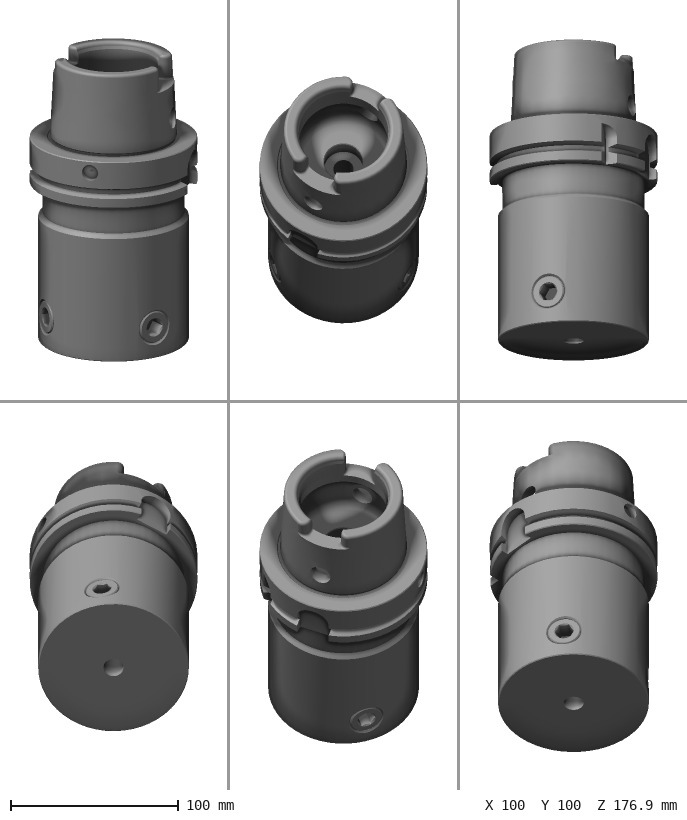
import cadquery as cq
import math

TOTAL_HEIGHT = 176.9

BODY_R = 45.0
BODY_BOTTOM_CHAMFER = 0.5
BODY_TOP_Z = 77.1
NECK_R = 42.3
NECK_START_Z = BODY_TOP_Z + (BODY_R - NECK_R)

FLANGE_R = 100.0 / 2
FLANGE_BOTTOM_Z = 98.0
FLANGE_TOP_Z = 127.0
FLANGE_CHAMFER = 0.5
GROOVE_R = 46.0
GROOVE_MID_Z = 107.0
GROOVE_MOUTH = 6.2
GROOVE_FLOOR = 2.8
FACE_RELIEF_R = 39.6
FACE_RELIEF_DEPTH = 0.5

TAPER_BASE_R = 37.9
TAPER_BASE_Z = 128.5
TAPER_SLOPE = 0.05
RELIEF_R = 37.1
RIM_OUTER_FILLET = 2.0

RIM_INNER_FILLET = 2.5
RIM_LEAD_IN_R = 27.5
RIM_LEAD_IN_END_Z = 172.7
LIP_R = 26.7
LIP_Z = 156.4
UNDERCUT_R = 30.6
UNDERCUT_ANGLE = 60.0
BORE_FLOOR_Z = 131.8
BORE_FLOOR_FILLET = 5.5
TUBE_SEAT_R = 12.0
TUBE_SEAT_DEPTH = 10.6
TUBE_SEAT_CHAMFER = 0.5
COOLANT_R = 6.0

RIM_SLOT_WIDTH = 20.0
RIM_SLOT_FLARE_R = 4.5
RIM_SLOT_FLOOR_FILLET = 1.5
RIM_SLOT_EDGE_CHAMFER = 0.7
SHALLOW_SLOT_FLOOR_Z = 166.8
DEEP_SLOT_FLOOR_Z = 161.9

ACCESS_R = 6.4
ACCESS_Z = 141.9

KEYWAY_WIDTH = 20.3
KEYWAY_TOP_Z = 122.6
KEYWAY_FLOOR_X = 44.0
NOTCH_WIDTH = 15.5
NOTCH_Y = 39.1
NOTCH_TOP_Z = 121.7
NOTCH_FLOOR_X = 31.8
CHIP_HOLE_R = 5.0
CHIP_HOLE_DEPTH = 4.5
CHIP_HOLE_Z = 119.8
CHIP_PILOT_R = 0.9
CHIP_PILOT_DEPTH = 0.9

SCREW_R = 9.9
SCREW_LENGTH = 17.7
SCREW_Z = 19.1
SCREW_FACE_RADIUS = 44.2
SCREW_ANGLES = (90.0, 220.0, 320.0)
SCREW_HOLE_CHAMFER = 1.0
SCREW_FACE_CHAMFER = 0.7
SOCKET_ACROSS_FLATS = 9.9
SOCKET_DEPTH = 10.6
SOCKET_LEAD_IN_R = 5.8


def taper_radius(z):
    """Outer radius of the shank taper at height z."""
    return TAPER_BASE_R - TAPER_SLOPE * (z - TAPER_BASE_Z)


def outer_blank():
    """Solid of revolution with the whole outer outline."""
    outline = [
        (0, 0),
        (BODY_R - BODY_BOTTOM_CHAMFER, 0),
        (BODY_R, BODY_BOTTOM_CHAMFER),
        (BODY_R, BODY_TOP_Z),
        (NECK_R, NECK_START_Z),
        (NECK_R, FLANGE_BOTTOM_Z),
        (FLANGE_R - FLANGE_CHAMFER, FLANGE_BOTTOM_Z),
        (FLANGE_R, FLANGE_BOTTOM_Z + FLANGE_CHAMFER),
        (FLANGE_R, GROOVE_MID_Z - GROOVE_MOUTH / 2),
        (GROOVE_R, GROOVE_MID_Z - GROOVE_FLOOR / 2),
        (GROOVE_R, GROOVE_MID_Z + GROOVE_FLOOR / 2),
        (FLANGE_R, GROOVE_MID_Z + GROOVE_MOUTH / 2),
        (FLANGE_R, FLANGE_TOP_Z - FLANGE_CHAMFER),
        (FLANGE_R - FLANGE_CHAMFER, FLANGE_TOP_Z),
        (FACE_RELIEF_R, FLANGE_TOP_Z),
        (FACE_RELIEF_R - FACE_RELIEF_DEPTH, FLANGE_TOP_Z - FACE_RELIEF_DEPTH),
        (RELIEF_R, FLANGE_TOP_Z - FACE_RELIEF_DEPTH),
        (RELIEF_R, TAPER_BASE_Z - (TAPER_BASE_R - RELIEF_R)),
        (TAPER_BASE_R, TAPER_BASE_Z),
        (taper_radius(TOTAL_HEIGHT), TOTAL_HEIGHT),
        (0, TOTAL_HEIGHT),
    ]
    return cq.Workplane("XZ").polyline(outline).close().revolve(360, (0, 0), (0, 1))


def bore_cutter():
    """Stepped bore: rounded rim, clamping lip, undercut, tube seat and coolant hole."""
    undercut_top_z = LIP_Z - (UNDERCUT_R - LIP_R) / math.tan(math.radians(UNDERCUT_ANGLE))
    seat_z = BORE_FLOOR_Z - TUBE_SEAT_DEPTH
    seat_inner_r = TUBE_SEAT_R - TUBE_SEAT_CHAMFER
    floor_bulge = BORE_FLOOR_FILLET * (1 - math.sqrt(0.5))
    rim_bulge = RIM_INNER_FILLET * (1 - math.sqrt(0.5))
    return (
        cq.Workplane("XZ")
        .lineTo(COOLANT_R, 0)
        .lineTo(COOLANT_R, seat_z)
        .lineTo(seat_inner_r, seat_z)
        .lineTo(seat_inner_r, BORE_FLOOR_Z - TUBE_SEAT_CHAMFER)
        .lineTo(TUBE_SEAT_R, BORE_FLOOR_Z)
        .lineTo(UNDERCUT_R - BORE_FLOOR_FILLET, BORE_FLOOR_Z)
        .threePointArc(
            (UNDERCUT_R - floor_bulge, BORE_FLOOR_Z + floor_bulge),
            (UNDERCUT_R, BORE_FLOOR_Z + BORE_FLOOR_FILLET),
        )
        .lineTo(UNDERCUT_R, undercut_top_z)
        .lineTo(LIP_R, LIP_Z)
        .lineTo(LIP_R, RIM_LEAD_IN_END_Z)
        .lineTo(RIM_LEAD_IN_R, TOTAL_HEIGHT - RIM_INNER_FILLET)
        .threePointArc(
            (RIM_LEAD_IN_R + rim_bulge, TOTAL_HEIGHT - rim_bulge),
            (RIM_LEAD_IN_R + RIM_INNER_FILLET, TOTAL_HEIGHT),
        )
        .lineTo(0, TOTAL_HEIGHT)
        .close()
        .revolve(360, (0, 0), (0, 1))
    )


def flare_points():
    """Start, middle and tip of the arc that rounds a slot wall into the outside of the rim."""
    outer_r = taper_radius(TOTAL_HEIGHT - RIM_OUTER_FILLET)
    centre_y = RIM_SLOT_WIDTH / 2 + RIM_SLOT_FLARE_R
    centre_x = math.sqrt((outer_r - RIM_SLOT_FLARE_R) ** 2 - centre_y ** 2)
    tip_angle = math.atan2(centre_y, centre_x)
    middle_angle = (tip_angle - math.pi / 2) / 2
    start = (centre_x, RIM_SLOT_WIDTH / 2)
    middle = (
        centre_x + RIM_SLOT_FLARE_R * math.cos(middle_angle),
        centre_y + RIM_SLOT_FLARE_R * math.sin(middle_angle),
    )
    tip = (outer_r * math.cos(tip_angle), outer_r * math.sin(tip_angle))
    return start, middle, tip


def mirrored_x(point):
    return (-point[0], point[1])


def mirrored_y(point):
    return (point[0], -point[1])


def rim_rounding_cutter():
    """Everything to remove near the top so that both rim walls end in rounded outer edges."""
    start, middle, tip = flare_points()
    base_z = TOTAL_HEIGHT - RIM_OUTER_FILLET
    wall = (
        cq.Workplane("XY", origin=(0, 0, base_z - RIM_OUTER_FILLET))
        .moveTo(*mirrored_x(start))
        .lineTo(*start)
        .threePointArc(middle, tip)
        .threePointArc((0, taper_radius(base_z)), mirrored_x(tip))
        .threePointArc(mirrored_x(middle), mirrored_x(start))
        .close()
        .extrude(2 * RIM_OUTER_FILLET)
        .faces(">Z")
        .edges()
        .fillet(RIM_OUTER_FILLET)
    )
    slab = cq.Workplane("XY", origin=(0, 0, base_z)).circle(FLANGE_R).extrude(2 * RIM_OUTER_FILLET)
    return slab.cut(wall).cut(wall.mirror("XZ"))


def rim_slot_cutter(side, floor_z):
    """Drive slot on the +X (side=1) or -X (side=-1) half of the rim, flared at its outer corners."""
    half = RIM_SLOT_WIDTH / 2
    start, middle, tip = flare_points()
    height = TOTAL_HEIGHT - floor_z + RIM_SLOT_FLOOR_FILLET
    slot = (
        cq.Workplane("XY", origin=(0, 0, floor_z))
        .moveTo(0, -half)
        .lineTo(*mirrored_y(start))
        .threePointArc(mirrored_y(middle), mirrored_y(tip))
        .lineTo(FLANGE_R, -tip[1])
        .lineTo(FLANGE_R, tip[1])
        .lineTo(*tip)
        .threePointArc(middle, start)
        .lineTo(0, half)
        .close()
        .extrude(height)
        .faces("<Z")
        .edges()
        .fillet(RIM_SLOT_FLOOR_FILLET)
    )
    edge_cone = cq.Workplane(
        cq.Solid.makeCone(
            LIP_R - RIM_SLOT_EDGE_CHAMFER,
            LIP_R + RIM_SLOT_EDGE_CHAMFER,
            2 * RIM_SLOT_EDGE_CHAMFER,
            pnt=cq.Vector(0, 0, floor_z - RIM_SLOT_EDGE_CHAMFER),
        )
    )
    edge_window = cq.Workplane("XY", origin=(0, 0, floor_z)).box(
        FLANGE_R, RIM_SLOT_WIDTH, height, centered=(False, True, True)
    )
    cutter = slot.union(edge_cone.intersect(edge_window))
    return cutter if side > 0 else cutter.rotate((0, 0, 0), (0, 0, 1), 180)


def flange_cut(side, floor_x, centre_y, width, top_z):
    """Round-topped cut from the side of the flange down through its lower face."""
    radius = width / 2
    arc_z = top_z - radius
    return (
        cq.Workplane("YZ", origin=(side * floor_x, 0, 0))
        .moveTo(centre_y - radius, FLANGE_BOTTOM_Z)
        .lineTo(centre_y - radius, arc_z)
        .threePointArc((centre_y, top_z), (centre_y + radius, arc_z))
        .lineTo(centre_y + radius, FLANGE_BOTTOM_Z)
        .close()
        .extrude(side * FLANGE_R)
    )


def access_cutter():
    """Radial hole along X through both walls of the shank."""
    return (
        cq.Workplane("YZ", origin=(-FLANGE_R, 0, 0))
        .center(0, ACCESS_Z)
        .circle(ACCESS_R)
        .extrude(2 * FLANGE_R)
    )


def chip_hole_cutter():
    """Flat-bottomed data chip hole on the -Y side with a small pilot in its floor."""
    face = cq.Workplane("XZ", origin=(0, -FLANGE_R, CHIP_HOLE_Z))
    hole = face.circle(CHIP_HOLE_R).extrude(-CHIP_HOLE_DEPTH)
    pilot = face.circle(CHIP_PILOT_R).extrude(-CHIP_HOLE_DEPTH - CHIP_PILOT_DEPTH)
    return hole.union(pilot)


def screw_plane(angle, radius):
    """Work plane facing outwards at the given angle about Z and distance from the axis."""
    direction = cq.Vector(math.cos(math.radians(angle)), math.sin(math.radians(angle)), 0)
    origin = direction * radius + cq.Vector(0, 0, SCREW_Z)
    return cq.Workplane(cq.Plane(origin=origin, xDir=(0, 0, 1), normal=direction))


def screw_hole_cutter(angle):
    """Blind hole that takes one clamping screw."""
    inner_radius = SCREW_FACE_RADIUS - SCREW_LENGTH
    return screw_plane(angle, inner_radius).circle(SCREW_R).extrude(FLANGE_R - inner_radius)


def make_housing():
    """Tool holder body with its taper shank, flange and screw holes."""
    housing = outer_blank()
    for angle in SCREW_ANGLES:
        housing = housing.cut(screw_hole_cutter(angle))
    bottom_end = cq.selectors.BoxSelector(
        (-FLANGE_R, -FLANGE_R, SCREW_Z - SCREW_R), (FLANGE_R, FLANGE_R, SCREW_Z + SCREW_R)
    )
    housing = housing.edges("%BSPLINE").edges(bottom_end).chamfer(SCREW_HOLE_CHAMFER)
    housing = housing.cut(bore_cutter())
    housing = housing.cut(rim_slot_cutter(-1, SHALLOW_SLOT_FLOOR_Z))
    housing = housing.cut(rim_slot_cutter(1, DEEP_SLOT_FLOOR_Z))
    housing = housing.cut(rim_rounding_cutter())
    housing = housing.cut(access_cutter())
    for side in (-1, 1):
        housing = housing.cut(flange_cut(side, KEYWAY_FLOOR_X, 0, KEYWAY_WIDTH, KEYWAY_TOP_Z))
    housing = housing.cut(flange_cut(-1, NOTCH_FLOOR_X, NOTCH_Y, NOTCH_WIDTH, NOTCH_TOP_Z))
    return housing.cut(chip_hole_cutter())


def make_screw(angle):
    """Clamping screw with a hexagon socket and a conical lead-in."""
    face = screw_plane(angle, SCREW_FACE_RADIUS)
    screw = face.circle(SCREW_R).extrude(-SCREW_LENGTH)
    screw = screw.edges(cq.selectors.NearestToPointSelector(face.plane.origin.toTuple())).chamfer(
        SCREW_FACE_CHAMFER
    )
    across_corners = SOCKET_ACROSS_FLATS / math.cos(math.radians(30))
    socket = face.transformed(rotate=(0, 0, 90)).polygon(6, across_corners).extrude(-SOCKET_DEPTH)
    lead_in = cq.Workplane(
        cq.Solid.makeCone(
            SOCKET_LEAD_IN_R,
            0,
            SOCKET_LEAD_IN_R,
            pnt=face.plane.origin,
            dir=face.plane.zDir * -1,
        )
    )
    return screw.cut(socket).cut(lead_in)


housing = make_housing()
screws = [make_screw(angle) for angle in SCREW_ANGLES]

result = cq.Compound.makeCompound([housing.val(), *[screw.val() for screw in screws]])